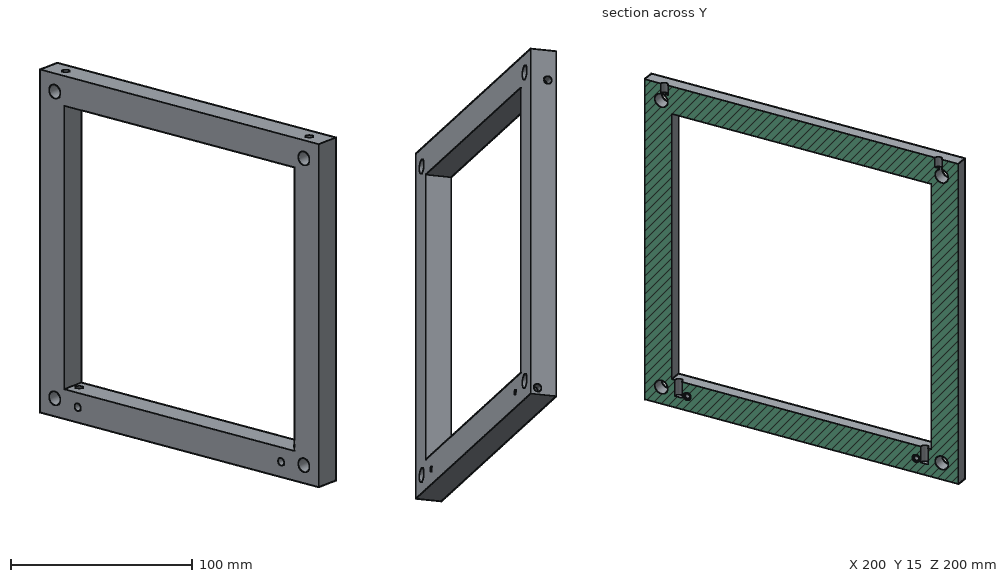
import cadquery as cq

side = 200.0
thickness = 15.0
rail = 17.5
half = side / 2
front_y = -thickness / 2
back_y = thickness / 2

corner_diameter = 8.0
corner_inset = 10.5

step_diameter = 4.5
step_bore = 3.0
step_depth = 8.0
stepped_inset_x = 27.0
stepped_height = 9.0

blind_diameter = 4.5
blind_depth = 6.0
top_inset = 12.5
top_hole_y = -0.5

floor_inset = 21.5
floor_hole_y = 0.5
floor_depth = 10.0

upper_side_y = front_y + 5.0
upper_side_z = half - 17.2
upper_side_depth = 8.0
upper_bore_depth = 12.0
lower_side_y = back_y - 4.0
lower_side_z = -half + 3.8
lower_side_depth = 6.0

INTO_BACK = cq.Vector(0, 1, 0)
DOWN = cq.Vector(0, 0, -1)
INTO_RIGHT = cq.Vector(1, 0, 0)


def drill(position, direction, diameter, depth):
    """Cylinder to cut away, starting at a face and going into the part."""
    return cq.Solid.makeCylinder(diameter / 2, depth, cq.Vector(*position), direction)


opening = side - 2 * rail
result = cq.Workplane("XY").box(side, thickness, side)
result = result.cut(cq.Workplane("XY").box(opening, thickness, opening))

for x_sign in (-1, 1):
    for z_sign in (-1, 1):
        corner = (x_sign * (half - corner_inset), front_y, z_sign * (half - corner_inset))
        result = result.cut(drill(corner, INTO_BACK, corner_diameter, thickness))

    stepped = (x_sign * (half - stepped_inset_x), front_y, -half + stepped_height)
    result = result.cut(drill(stepped, INTO_BACK, step_diameter, step_depth))
    result = result.cut(drill(stepped, INTO_BACK, step_bore, thickness))

    top = (x_sign * (half - top_inset), top_hole_y, half)
    result = result.cut(drill(top, DOWN, blind_diameter, blind_depth))
    floor = (x_sign * (half - floor_inset), floor_hole_y, -half + rail)
    result = result.cut(drill(floor, DOWN, blind_diameter, floor_depth))

upper = (-half, upper_side_y, upper_side_z)
result = result.cut(drill(upper, INTO_RIGHT, step_diameter, upper_side_depth))
result = result.cut(drill(upper, INTO_RIGHT, step_bore, upper_bore_depth))
lower = (-half, lower_side_y, lower_side_z)
result = result.cut(drill(lower, INTO_RIGHT, blind_diameter, lower_side_depth))